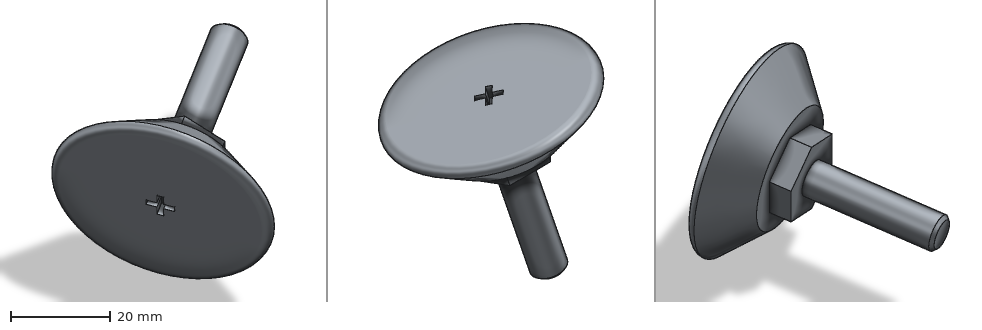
import cadquery as cq
import math


pad_diameter = 47.0
pad_top_diameter = 27.6
pad_height = 11.0
rim_radius = 2.0

hex_sides = 6
hex_across_flats = 17.0
hex_height = 5.0

stud_diameter = 8.0
stud_length = 30.0
stud_chamfer = 0.8

cross_length = 6.0
cross_width = 1.4
cross_depth = 3.0

hex_start = pad_height
stud_start = hex_start + hex_height


def plane_at(y):
    """Plane across the axis at height y: local x is X, local y is Z, normal is -Y."""
    return cq.Workplane("XZ", origin=(0, y, 0))


def make_pad():
    """Conical pad with a quarter-round rim, revolved about the Y axis."""
    pad_radius = pad_diameter / 2
    face_radius = pad_radius - rim_radius
    diagonal = math.radians(45)
    rim_middle = (
        face_radius + rim_radius * math.sin(diagonal),
        rim_radius * (1 - math.cos(diagonal)),
    )
    return (
        cq.Workplane("XY")
        .lineTo(face_radius, 0)
        .threePointArc(rim_middle, (pad_radius, rim_radius))
        .lineTo(pad_top_diameter / 2, pad_height)
        .lineTo(0, pad_height)
        .close()
        .revolve(360, (0, 0, 0), (0, 1, 0))
    )


def make_hexagon():
    """Hexagon with its corners toward +Z and -Z and two flats facing +X and -X."""
    hexagon = plane_at(hex_start).polygon(hex_sides, hex_across_flats, circumscribed=True)
    return hexagon.extrude(-hex_height)


def make_stud():
    """Plain round stud with a chamfered free end."""
    stud = plane_at(stud_start).circle(stud_diameter / 2).extrude(-stud_length)
    return stud.faces(">Y").chamfer(stud_chamfer)


def make_cross():
    """Cutter for the cross recess: two equal crossed bars."""
    upright = plane_at(0).rect(cross_width, cross_length).extrude(-cross_depth)
    level = plane_at(0).rect(cross_length, cross_width).extrude(-cross_depth)
    return upright.union(level)


result = make_pad().union(make_hexagon()).union(make_stud()).cut(make_cross())